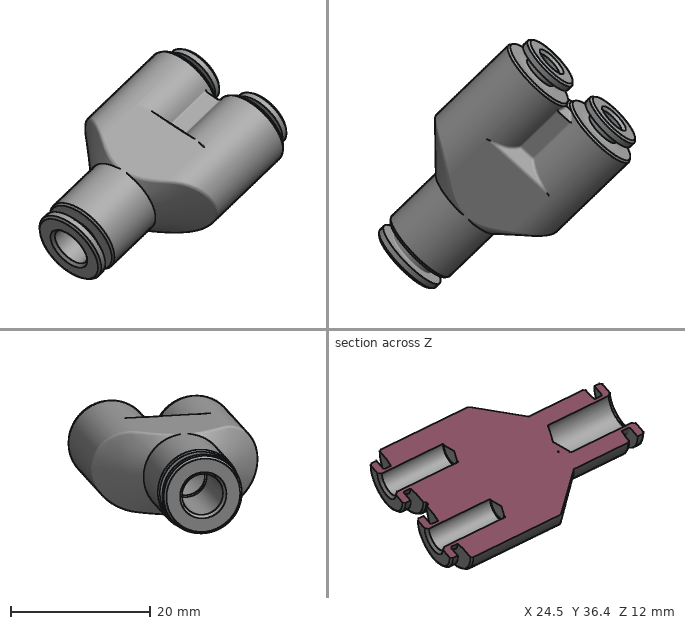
import cadquery as cq
import math

LENGTH = 36.4
WIDTH = 24.5
TUBE_RADIUS = 6.0
BRANCH_OFFSET = WIDTH / 2 - TUBE_RADIUS

INLET_FACE_Y = 2.65
SHOULDER_Y = 12.25
BRANCH_FACE_Y = 33.85
END_BEVEL_LENGTH = 0.35
END_BEVEL_DEPTH = 0.22
CONE_TIP_Y = SHOULDER_Y - TUBE_RADIUS
SHOULDER_FILLET = 0.55
INLET_OVERLAP = 1.1

VALLEY_WALL_Y = 23.3
WEB_HALF_HEIGHT = 3.5
WEB_SLOPE_START_Y = 32.5
WEB_END_Y = BRANCH_FACE_Y - END_BEVEL_LENGTH
VALLEY_LEAN = 30.0
VALLEY_SLOPE = math.tan(math.radians(VALLEY_LEAN))
VALLEY_FILLET = 0.5
WEB_SIDE_FILLET = 0.4
EDGE_MARGIN = 0.35

COLLAR_THICKNESS = 1.25
COLLAR_BEVEL = 0.33
COLLAR_FILLET = 0.2
NECK_ROOT = 0.73
SEAL_CONE_WIDTH = 1.27
SEAL_CONE_HEIGHT = 0.15
INLET_COLLAR_RADIUS = 5.75
INLET_NECK_RADIUS = 3.65
INLET_BORE_RADIUS = 3.02
BRANCH_COLLAR_RADIUS = 4.55
BRANCH_NECK_RADIUS = 2.62
NECK_WALL = INLET_NECK_RADIUS - INLET_BORE_RADIUS
BRANCH_BORE_RADIUS = BRANCH_NECK_RADIUS - NECK_WALL

BORE_BEVEL_DEPTH = 0.4
BORE_BEVEL_LENGTH = 0.5
BORE_DEPTH = 10.92
BORE_LEDGE = 0.3
BORE_TIP_ANGLE = 140.0


def revolve_about_y(profile):
    """Revolve a closed (radius, y) profile about the Y axis."""
    return profile.close().revolve(360, (0, 0, 0), (0, 1, 0))


def tube(start_y, end_y):
    """Plain body cylinder whose end_y end is bevelled."""
    bevel_y = end_y - math.copysign(END_BEVEL_LENGTH, end_y - start_y)
    return revolve_about_y(
        cq.Workplane("XY")
        .moveTo(0, start_y)
        .lineTo(TUBE_RADIUS, start_y)
        .lineTo(TUBE_RADIUS, bevel_y)
        .lineTo(TUBE_RADIUS - END_BEVEL_DEPTH, end_y)
        .lineTo(0, end_y)
    )


def at_branches(shape):
    """Copy a shape from the Y axis onto both branch axes."""
    return shape.translate((-BRANCH_OFFSET, 0, 0)).union(shape.translate((BRANCH_OFFSET, 0, 0)))


def centre_block():
    """Slab between the branches: full height near the shoulder, stepping down to the web."""
    valley_run = (TUBE_RADIUS - WEB_HALF_HEIGHT) * VALLEY_SLOPE
    web_end_height = WEB_HALF_HEIGHT - (WEB_END_Y - WEB_SLOPE_START_Y) / VALLEY_SLOPE
    upper_half = [
        (CONE_TIP_Y, TUBE_RADIUS),
        (VALLEY_WALL_Y, TUBE_RADIUS),
        (VALLEY_WALL_Y + valley_run, WEB_HALF_HEIGHT),
        (WEB_SLOPE_START_Y, WEB_HALF_HEIGHT),
        (WEB_END_Y, web_end_height),
    ]
    lower_half = [(y, -z) for y, z in reversed(upper_half)]
    block = (
        cq.Workplane("YZ")
        .polyline(upper_half + lower_half)
        .close()
        .extrude(BRANCH_OFFSET, both=True)
    )
    valley_edges = cq.selectors.BoxSelector(
        (-WIDTH, VALLEY_WALL_Y - EDGE_MARGIN, -WIDTH),
        (WIDTH, VALLEY_WALL_Y + valley_run + EDGE_MARGIN, WIDTH),
    )
    return block.edges("|X").edges(valley_edges).fillet(VALLEY_FILLET)


def shoulder_cone():
    """45 degree cone that trims the branches down to the inlet tube."""
    cone_length = LENGTH - CONE_TIP_Y
    return revolve_about_y(
        cq.Workplane("XY")
        .moveTo(0, CONE_TIP_Y)
        .lineTo(cone_length, LENGTH)
        .lineTo(0, LENGTH)
    )


def trimmed_branches():
    """Both branch tubes and the slab, cut by the cone, with the cut edge rounded."""
    blank = at_branches(tube(CONE_TIP_Y, BRANCH_FACE_Y)).union(centre_block())
    trimmed = blank.intersect(shoulder_cone())
    return trimmed.faces("%CONE").faces("<Y").edges().fillet(SHOULDER_FILLET)


def body():
    """Inlet tube joined to the branches, with the sides of the web rounded into them."""
    inlet = tube(SHOULDER_Y + INLET_OVERLAP, INLET_FACE_Y)
    joined = trimmed_branches().union(inlet)
    near_x = EDGE_MARGIN
    far_x = BRANCH_OFFSET - EDGE_MARGIN
    far_y = WEB_END_Y - EDGE_MARGIN
    left_side = cq.selectors.BoxSelector(
        (-far_x, VALLEY_WALL_Y, -TUBE_RADIUS),
        (-near_x, far_y, TUBE_RADIUS),
    )
    right_side = cq.selectors.BoxSelector(
        (near_x, VALLEY_WALL_Y, -TUBE_RADIUS),
        (far_x, far_y, TUBE_RADIUS),
    )
    return joined.edges(left_side + right_side).fillet(WEB_SIDE_FILLET)


def release_collar(end_y, face_y, collar_radius, neck_radius):
    """Push-in release collar: bevelled flange at end_y on a neck that enters the body at face_y."""
    inward = math.copysign(1, face_y - end_y)
    bevel_y = end_y + inward * COLLAR_BEVEL
    back_y = end_y + inward * COLLAR_THICKNESS
    seal_y = face_y - inward * SEAL_CONE_HEIGHT
    root_y = face_y + inward * NECK_ROOT
    fillet_start = (neck_radius + COLLAR_FILLET, back_y)
    fillet_end = (neck_radius, back_y + inward * COLLAR_FILLET)
    fillet_reach = COLLAR_FILLET * (1 - math.sqrt(0.5))
    fillet_middle = (neck_radius + fillet_reach, back_y + inward * fillet_reach)
    return revolve_about_y(
        cq.Workplane("XY")
        .moveTo(0, end_y)
        .lineTo(collar_radius - COLLAR_BEVEL, end_y)
        .lineTo(collar_radius, bevel_y)
        .lineTo(collar_radius, back_y)
        .lineTo(*fillet_start)
        .threePointArc(fillet_middle, fillet_end)
        .lineTo(neck_radius, seal_y)
        .lineTo(neck_radius + SEAL_CONE_WIDTH, face_y)
        .lineTo(neck_radius + SEAL_CONE_WIDTH, root_y)
        .lineTo(0, root_y)
    )


def tube_bore(end_y, inward, radius):
    """Blind bore with a bevelled mouth, a small ledge at the bottom and a conical tip."""
    tip_radius = radius - BORE_LEDGE
    tip_length = tip_radius / math.tan(math.radians(BORE_TIP_ANGLE / 2))
    bottom_y = end_y + inward * BORE_DEPTH
    return revolve_about_y(
        cq.Workplane("XY")
        .moveTo(0, end_y)
        .lineTo(radius + BORE_BEVEL_DEPTH, end_y)
        .lineTo(radius, end_y + inward * BORE_BEVEL_LENGTH)
        .lineTo(radius, bottom_y)
        .lineTo(tip_radius, bottom_y)
        .lineTo(0, bottom_y + inward * tip_length)
    )


inlet_collar = release_collar(0, INLET_FACE_Y, INLET_COLLAR_RADIUS, INLET_NECK_RADIUS)
branch_collar = release_collar(LENGTH, BRANCH_FACE_Y, BRANCH_COLLAR_RADIUS, BRANCH_NECK_RADIUS)
inlet_bore = tube_bore(0, 1, INLET_BORE_RADIUS)
branch_bore = tube_bore(LENGTH, -1, BRANCH_BORE_RADIUS)

solid_fitting = body().union(inlet_collar).union(at_branches(branch_collar))
result = solid_fitting.cut(inlet_bore).cut(at_branches(branch_bore))